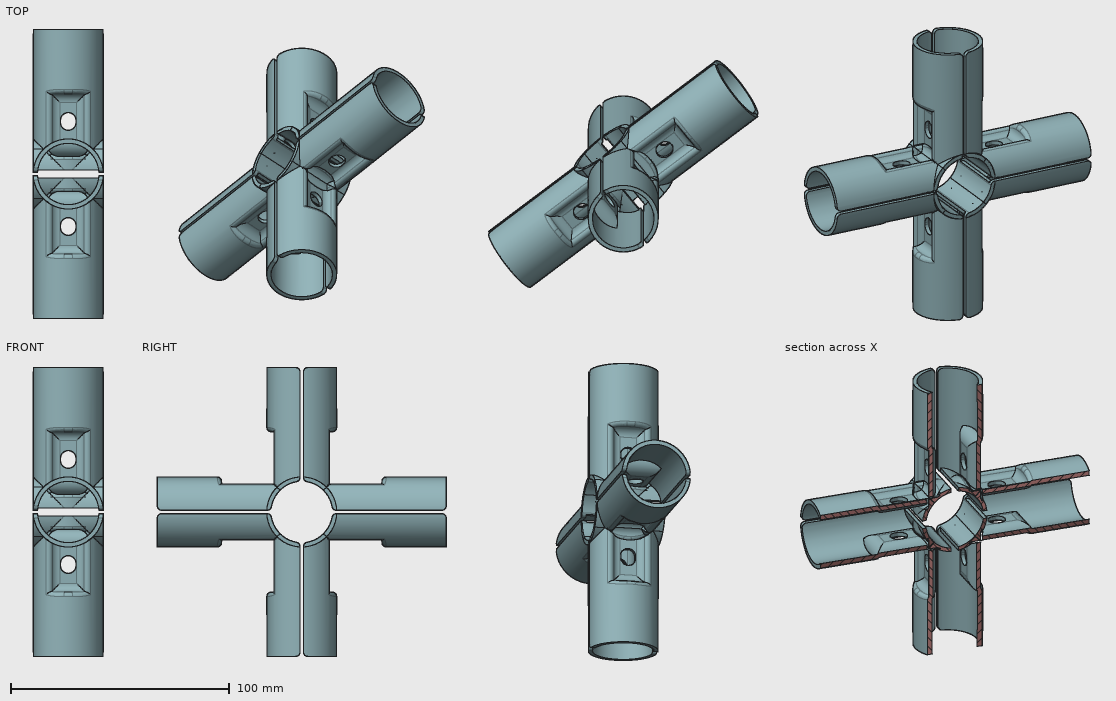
import cadquery as cq
import math


outer_radius = 16.0
wall = 2.0
bore_radius = outer_radius - wall
stem_reach = 66.0
half_gap = 0.75
corner_round = 2.0
web_end = 1.8

recess_floor = 9.9
floor_half_width = 3.8
recess_round = 4.0
rim_round = 2.0
recess_half_width = floor_half_width + recess_round
recess_start = 8.6
recess_end = 36.6
recess_length = recess_end - recess_start
recess_middle = (recess_start + recess_end) / 2
strip_half_width = 11.0

slot_width = 7.0
slot_length = 8.0
slot_middle = 24.0

quadrant_count = 4
clearance = 10.0
far = stem_reach + clearance


def half_rod(radius):
    """Solid half cylinder along +Z on the -Y side."""
    return (
        cq.Workplane("XY")
        .moveTo(-radius, 0)
        .threePointArc((0, -radius), (radius, 0))
        .close()
        .extrude(stem_reach)
    )


def rod_along_x(radius):
    """Solid cylinder along the X axis over the full part width."""
    return cq.Workplane("YZ").circle(radius).extrude(outer_radius, both=True)


def prism_along_x(outline):
    """Extrude an open YZ outline, once closed, over more than the part width."""
    return outline.close().extrude(outer_radius + clearance, both=True)


def mirrored(shape):
    """Mirror a shape across the plane z = -y."""
    return shape.mirror("XY").rotate((0, 0, 0), (1, 0, 0), -90)


def recess_block(offset):
    """Block with a rounded floor at y = -recess_floor, grown by offset on every side."""
    floor = recess_floor - offset
    depth = outer_radius + clearance - floor
    return (
        cq.Workplane("XY")
        .box(2 * (recess_half_width + offset), depth, recess_length + 2 * offset)
        .translate((0, -floor - depth / 2, recess_middle))
        .faces(">Y")
        .edges()
        .fillet(recess_round + offset)
    )


def lengthwise_channel():
    """Cutter along Z: a floor, concave sides and rims that run tangent into the tube outside."""
    side_x = floor_half_width
    side_depth = recess_floor + recess_round
    side_distance = math.hypot(side_x, side_depth)
    rim_distance = outer_radius - rim_round
    between = recess_round + rim_round
    cosine = (side_distance**2 + rim_distance**2 - between**2) / (2 * side_distance * rim_distance)
    rim_angle = math.atan2(side_x, side_depth) + math.acos(cosine)
    rim_x = rim_distance * math.sin(rim_angle)
    rim_depth = rim_distance * math.cos(rim_angle)

    slope = math.atan2(rim_x - side_x, side_depth - rim_depth)
    joint_x = side_x + recess_round * math.sin(slope)
    joint_depth = side_depth - recess_round * math.cos(slope)
    side_mid_x = side_x + recess_round * math.sin(slope / 2)
    side_mid_depth = side_depth - recess_round * math.cos(slope / 2)
    rim_mid_angle = (rim_angle - slope) / 2
    rim_mid_x = rim_x + rim_round * math.sin(rim_mid_angle)
    rim_mid_depth = rim_depth + rim_round * math.cos(rim_mid_angle)
    edge_x = outer_radius * math.sin(rim_angle)
    edge_depth = outer_radius * math.cos(rim_angle)
    top_depth = outer_radius + clearance

    half = (
        cq.Workplane("XY")
        .moveTo(0, -recess_floor)
        .lineTo(side_x, -recess_floor)
        .threePointArc((side_mid_x, -side_mid_depth), (joint_x, -joint_depth))
        .threePointArc((rim_mid_x, -rim_mid_depth), (edge_x, -edge_depth))
        .lineTo(edge_x, -top_depth)
        .lineTo(0, -top_depth)
    )
    return half.mirrorY().extrude(stem_reach)


def crosswise_space():
    """Space across the stem: floor, concave ends and rounded rims, wider than the recess."""
    depth = outer_radius + clearance - recess_floor
    cutter = (
        cq.Workplane("XY")
        .box(2 * outer_radius, depth, recess_length)
        .translate((0, -recess_floor - depth / 2, recess_middle))
        .faces(">Y")
        .edges("|X")
        .fillet(recess_round)
    )
    strip = half_rod(outer_radius).intersect(cq.Workplane("XY").box(2 * strip_half_width, far, 2 * far))
    notched = strip.cut(cutter)
    rims = []
    for edge in notched.edges().vals():
        box = edge.BoundingBox()
        if min(box.xlen, box.ylen) > rim_round and 0 < box.center.z < stem_reach:
            rims.append(edge)
    return strip.cut(notched.newObject(rims).fillet(rim_round))


def recess_space():
    """Space of the recess, with mitred corners where its sides meet its ends."""
    return crosswise_space().intersect(lengthwise_channel())


def stem_sector():
    """Region between the split gap and the diagonal, with the split edge rounded at both ends."""
    centre_y = half_gap + corner_round
    mid_offset = corner_round * math.sqrt(0.5)
    tip_centre_z = stem_reach - corner_round
    centre_distance = bore_radius + corner_round
    inner_centre_z = math.sqrt(centre_distance**2 - centre_y**2)
    bore_scale = bore_radius / centre_distance
    inner_mid_angle = (math.atan2(inner_centre_z, -centre_y) - math.pi) / 2
    inner_mid = (
        -centre_y + corner_round * math.cos(inner_mid_angle),
        inner_centre_z + corner_round * math.sin(inner_mid_angle),
    )
    return prism_along_x(
        cq.Workplane("YZ")
        .moveTo(-centre_y, centre_y)
        .lineTo(-centre_y * bore_scale, inner_centre_z * bore_scale)
        .threePointArc(inner_mid, (-half_gap, inner_centre_z))
        .lineTo(-half_gap, tip_centre_z)
        .threePointArc((-centre_y + mid_offset, tip_centre_z + mid_offset), (-centre_y, stem_reach))
        .lineTo(-stem_reach, stem_reach)
    )


def web():
    """Filling between the bore and the neighbouring stem's outside, clear of the split gap."""
    beside_gap = cq.Workplane("XY").box(2 * far, far, 2 * far).translate((0, -web_end - far / 2, 0))
    return mirrored(half_rod(outer_radius)).union(rod_along_x(outer_radius)).intersect(beside_gap)


def half_stem():
    """Half stem along +Z on the -Y side, with its share of the collar and web around the bore."""
    body = half_rod(outer_radius).union(rod_along_x(outer_radius)).intersect(stem_sector())
    hollow = half_rod(bore_radius).cut(recess_block(wall)).cut(web())
    slot = (
        cq.Workplane("XZ")
        .center(0, slot_middle)
        .slot2D(slot_length, slot_width, 90)
        .extrude(outer_radius)
    )
    space = recess_space()
    for cutter in (hollow, rod_along_x(bore_radius), slot, space, mirrored(space)):
        body = body.cut(cutter)
    return body


upright = half_stem()
crossing = mirrored(upright)

half_stems = []
for i in range(quadrant_count):
    turn = i * 360 / quadrant_count
    for half in (upright, crossing):
        half_stems.append(half.rotate((0, 0, 0), (1, 0, 0), turn).val())

result = cq.Compound.makeCompound(half_stems)